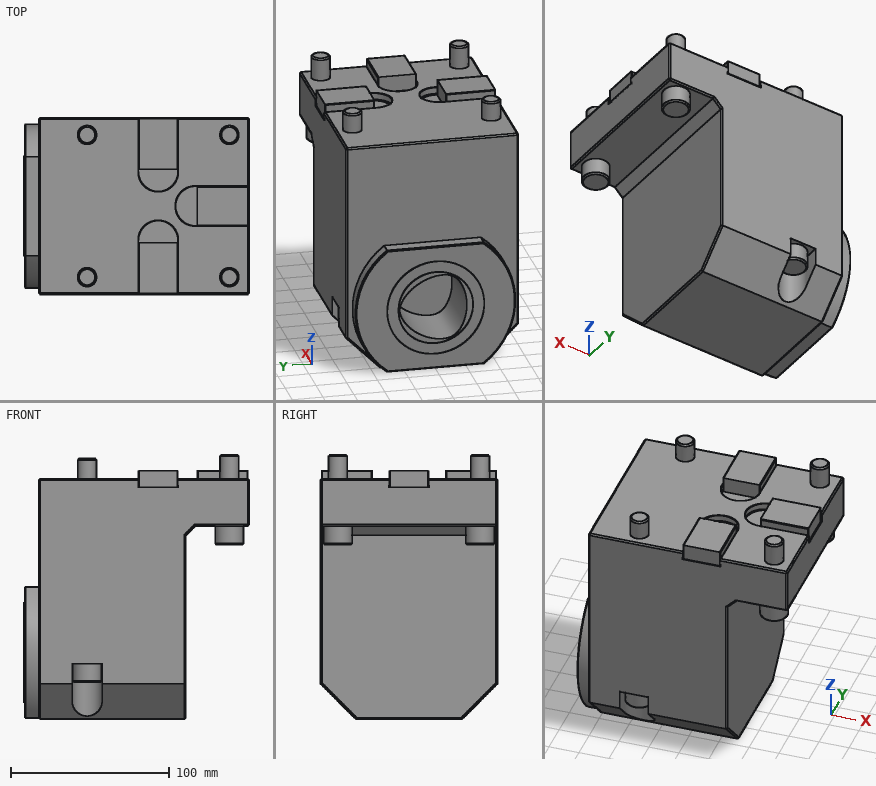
import cadquery as cq
import math


HOUSING_WIDTH = 112.0
HOUSING_LENGTH = 133.0
BODY_LENGTH = 93.0
HOUSING_TOP = 110.0
HOUSING_BOTTOM = -42.25
OVERHANG_THICKNESS = 30.0
OVERHANG_CORNER = 6.0
LOWER_CHAMFER = 22.5
EDGE_CHAMFER = 1.0
HALF_WIDTH = HOUSING_WIDTH / 2
OVERHANG_BOTTOM = HOUSING_TOP - OVERHANG_THICKNESS

FLANGE_DIAMETER = 104.0
FLANGE_ACROSS_FLATS = 83.0
FLANGE_THICKNESS = 9.0
FLANGE_CHAMFER = 0.75
RING_OUTER_DIAMETER = 63.0
RING_INNER_DIAMETER = 48.5
RING_HEIGHT = 0.5

SOCKET_MEAN_RADIUS = 21.75
SOCKET_LOBE = 1.5
SOCKET_DEPTH = 38.0
SOCKET_SLOPE = 1 / 40
SOCKET_POINTS = 48

SCREW_CENTER_X = 75.5
SCREW_SPACING = 90.0
SCREW_DIAMETER = 12.0
SCREW_TIP_CHAMFER = 1.0
HEAD_DIAMETER = 18.0
HEAD_HEIGHT = 12.0
HEAD_CHAMFER = 1.0
FRONT_SCREW_TIP = 125.0
REAR_SCREW_TIP = 122.75
REAR_X = SCREW_CENTER_X - SCREW_SPACING / 2
FRONT_X = SCREW_CENTER_X + SCREW_SPACING / 2
SCREW_Y = SCREW_SPACING / 2
POCKET_WIDTH = 19.0
POCKET_ROOF = -7.0

KEYWAY_WIDTH = 25.0
KEYWAY_DEPTH = 5.5
KEYWAY_FLOOR = HOUSING_TOP - KEYWAY_DEPTH
RIM_CHAMFER = 0.3
UNDERCUT_REACH = 0.3
UNDERCUT_HEIGHT = 1.0
SIDE_KEYWAY_END = 9.25
FRONT_KEYWAY_END = 11.0
KEY_CHAMFER = 0.5
KEY_LENGTH = 32.0
KEY_PROJECTION = 5.0
KEY_SETBACK = 0.75


def is_broken_edge(edge):
    """Outer edges get a small chamfer; the lower lengthwise edges and inner corners stay sharp."""
    middle = edge.Center()
    box = edge.BoundingBox()
    lengthwise = box.xlen > box.ylen + box.zlen
    crosswise = box.ylen > box.xlen + box.zlen
    if lengthwise:
        return middle.z > OVERHANG_BOTTOM - OVERHANG_CORNER
    if crosswise:
        at_end = middle.x < EDGE_CHAMFER or middle.x > HOUSING_LENGTH - EDGE_CHAMFER
        return at_end or middle.z < OVERHANG_BOTTOM - 2 * OVERHANG_CORNER
    return True


def make_housing():
    side_profile = (
        cq.Workplane("XZ")
        .moveTo(0, HOUSING_BOTTOM)
        .lineTo(BODY_LENGTH, HOUSING_BOTTOM)
        .lineTo(BODY_LENGTH, OVERHANG_BOTTOM - OVERHANG_CORNER)
        .lineTo(BODY_LENGTH + OVERHANG_CORNER, OVERHANG_BOTTOM)
        .lineTo(HOUSING_LENGTH, OVERHANG_BOTTOM)
        .lineTo(HOUSING_LENGTH, HOUSING_TOP)
        .lineTo(0, HOUSING_TOP)
        .close()
        .extrude(HALF_WIDTH, both=True)
    )
    end_profile = (
        cq.Workplane("YZ")
        .rect(HOUSING_WIDTH, HOUSING_TOP - HOUSING_BOTTOM)
        .extrude(HOUSING_LENGTH)
        .translate((0, 0, (HOUSING_TOP + HOUSING_BOTTOM) / 2))
        .edges("|X and <Z")
        .chamfer(LOWER_CHAMFER)
    )
    housing = side_profile.intersect(end_profile)
    return housing.edges().filter(is_broken_edge).chamfer(EDGE_CHAMFER)


def make_spindle_nose():
    flange = cq.Workplane("YZ").circle(FLANGE_DIAMETER / 2).extrude(-FLANGE_THICKNESS)
    flats = cq.Workplane("YZ").rect(FLANGE_DIAMETER, FLANGE_ACROSS_FLATS).extrude(-FLANGE_THICKNESS)
    flange = flange.intersect(flats).faces("<X").edges().chamfer(FLANGE_CHAMFER)
    ring = (
        cq.Workplane("YZ", origin=(-FLANGE_THICKNESS, 0, 0))
        .circle(RING_OUTER_DIAMETER / 2)
        .circle(RING_INNER_DIAMETER / 2)
        .extrude(-RING_HEIGHT)
    )
    return flange.union(ring)


def lobed_outline(mean_radius):
    """Points of the curve whose tangents lie mean_radius + SOCKET_LOBE * cos(3a) from the axis."""
    points = []
    for step in range(SOCKET_POINTS):
        angle = 2 * math.pi * step / SOCKET_POINTS
        reach = mean_radius + SOCKET_LOBE * math.cos(3 * angle)
        slope = -3 * SOCKET_LOBE * math.sin(3 * angle)
        y = reach * math.cos(angle) - slope * math.sin(angle)
        z = reach * math.sin(angle) + slope * math.cos(angle)
        points.append((y, z))
    return points


def make_socket():
    end_radius = SOCKET_MEAN_RADIUS - SOCKET_DEPTH * SOCKET_SLOPE
    return (
        cq.Workplane("YZ", origin=(-FLANGE_THICKNESS, 0, 0))
        .spline(lobed_outline(SOCKET_MEAN_RADIUS), periodic=True)
        .close()
        .workplane(offset=SOCKET_DEPTH)
        .spline(lobed_outline(end_radius), periodic=True)
        .close()
        .loft(ruled=True)
    )


def make_screw(x, y, head_seat, tip):
    shank = (
        cq.Workplane("XY", origin=(x, y, head_seat))
        .circle(SCREW_DIAMETER / 2)
        .extrude(tip - head_seat)
        .faces(">Z")
        .chamfer(SCREW_TIP_CHAMFER)
    )
    head = (
        cq.Workplane("XY", origin=(x, y, head_seat))
        .circle(HEAD_DIAMETER / 2)
        .extrude(-HEAD_HEIGHT)
        .faces("<Z")
        .chamfer(HEAD_CHAMFER)
    )
    return shank.union(head)


def make_screw_pocket(side):
    """Vertical pocket for a rear screw head, open to the side and bottom of the housing."""
    height = POCKET_ROOF - HOUSING_BOTTOM
    bore = (
        cq.Workplane("XY", origin=(REAR_X, side * SCREW_Y, HOUSING_BOTTOM))
        .circle(POCKET_WIDTH / 2)
        .extrude(height)
    )
    opening = (
        cq.Workplane("XY", origin=(REAR_X, side * (SCREW_Y + HALF_WIDTH) / 2, HOUSING_BOTTOM))
        .rect(POCKET_WIDTH, HALF_WIDTH - SCREW_Y)
        .extrude(height)
    )
    return bore.union(opening)


def make_round_ended_slot(end, face, radius, bottom, height):
    """Round-ended prism running along +X from `end` to the outer face at `face`."""
    return (
        cq.Workplane("XY", origin=(0, 0, bottom))
        .moveTo(face, -radius)
        .lineTo(end + radius, -radius)
        .threePointArc((end, 0), (end + radius, radius))
        .lineTo(face, radius)
        .close()
        .extrude(height)
    )


def make_keyway(end, face):
    """Keyway with an undercut beside its floor and a chamfered rim."""
    radius = KEYWAY_WIDTH / 2
    slot = make_round_ended_slot(end, face, radius, KEYWAY_FLOOR, KEYWAY_DEPTH)
    undercut = make_round_ended_slot(
        end - UNDERCUT_REACH, face, radius + UNDERCUT_REACH, KEYWAY_FLOOR, UNDERCUT_HEIGHT
    )
    rim = make_round_ended_slot(
        end - RIM_CHAMFER, face, radius + RIM_CHAMFER, HOUSING_TOP - RIM_CHAMFER, 2 * RIM_CHAMFER
    )
    rim = rim.faces("<Z").edges("not >X").chamfer(RIM_CHAMFER)
    return slot.union(undercut).union(rim)


def make_key(face):
    key_center = face - KEY_SETBACK - KEY_LENGTH / 2
    return (
        cq.Workplane("XY", origin=(key_center, 0, KEYWAY_FLOOR))
        .rect(KEY_LENGTH, KEYWAY_WIDTH)
        .extrude(KEYWAY_DEPTH + KEY_PROJECTION)
        .edges("|Z or (|X and >Z)")
        .chamfer(KEY_CHAMFER)
    )


def place_on_mounting_face(shape, angle):
    return shape.rotate((0, 0, 0), (0, 0, 1), angle).translate((SCREW_CENTER_X, 0, 0))


result = make_housing().union(make_spindle_nose()).cut(make_socket())

for side in (-1, 1):
    result = result.cut(make_screw_pocket(side))
    result = result.union(make_screw(REAR_X, side * SCREW_Y, POCKET_ROOF, REAR_SCREW_TIP))
    result = result.union(make_screw(FRONT_X, side * SCREW_Y, OVERHANG_BOTTOM, FRONT_SCREW_TIP))

front_face = HOUSING_LENGTH - SCREW_CENTER_X
key_positions = (
    (0, FRONT_KEYWAY_END, front_face),
    (90, SIDE_KEYWAY_END, HALF_WIDTH),
    (-90, SIDE_KEYWAY_END, HALF_WIDTH),
)
for angle, end, face in key_positions:
    result = result.cut(place_on_mounting_face(make_keyway(end, face), angle))
    result = result.union(place_on_mounting_face(make_key(face), angle))